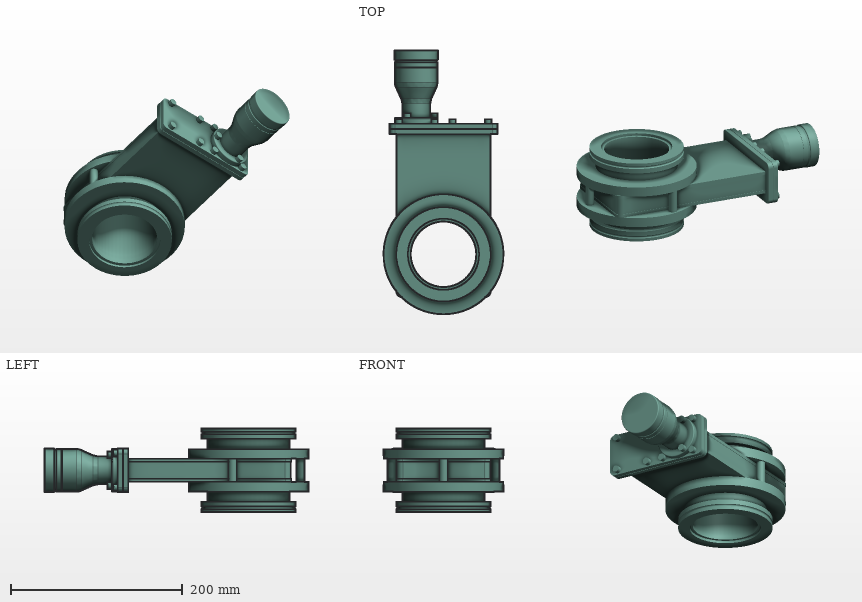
import cadquery as cq
import math


bore_radius = 38.0
counterbore_radius = 41.5
counterbore_depth = 3.0
tube_radius = 48.0
port_half_height = 97.41 / 2
port_ring_radius = 55.0
port_ring_thickness = 12.2
ring_groove_width = 3.0
ring_groove_offset = 5.1
flange_radius = 70.0
flange_thickness = 11.3

housing_width = 110.0
housing_thickness = 27.0
housing_bottom_y = -50.0
housing_corner_radius = 7.0
cover_thickness = 3.7
spacer_recess = 0.5

rod_radius = 5.0
front_rod_y = -60.4
side_rod_x = 60.3
side_rod_y = 18.5
rod_places = [(0, front_rod_y), (-side_rod_x, side_rod_y), (side_rod_x, side_rod_y)]

bonnet_width = 126.0
bonnet_height = 51.0
bonnet_corner_radius = 6.0
bonnet_start_y = 140.0
bonnet_plate_thickness = 5.7
gasket_thickness = 0.8
gasket_recess = 0.5
bonnet_front_round = 0.6
bonnet_end_y = bonnet_start_y + 2 * bonnet_plate_thickness + gasket_thickness

screw_head_radius = 4.0
screw_head_height = 5.3
bonnet_screw_x = [-52.0, -10.5, 10.5, 52.0]
bonnet_screw_z = 20.0

actuator_x = -31.8
actuator_flange_radius = 25.0
actuator_flange_thickness = 6.9
actuator_flange_round = 1.0
actuator_flange_end_y = bonnet_end_y + actuator_flange_thickness
actuator_screw_circle_radius = 21.0
actuator_screw_count = 3
neck_radius = 16.5
barrel_radius = 25.0
cap_radius = 25.5
cone_start_y = 178.9
cone_end_y = 197.4
cone_blend_radius = 14.0
barrel_groove_y = 217.1
barrel_groove_width = 1.0
barrel_groove_depth = 0.5
barrel_end_y = 223.9
cap_start_y = 226.3
cap_joint_radius = 24.2
cap_round = 1.0
barrel_end_round = 0.5
overall_length = 307.72
cap_end_y = overall_length - flange_radius


def rod_along_y(x, z, radius, start_y, length):
    """Solid cylinder along +Y."""
    base = cq.Workplane("XZ", origin=(x, start_y, z))
    return base.circle(radius).extrude(-length)


def port():
    """Upper flange, tube and grooved end ring."""
    flange_bottom = housing_thickness / 2
    flange_top = flange_bottom + flange_thickness
    ring_bottom = port_half_height - port_ring_thickness
    groove_top = port_half_height - ring_groove_offset + ring_groove_width / 2
    groove_bottom = groove_top - ring_groove_width
    profile = (
        cq.Workplane("YZ")
        .moveTo(0, flange_bottom)
        .lineTo(-flange_radius, flange_bottom)
        .lineTo(-flange_radius, flange_top)
        .lineTo(-tube_radius, flange_top)
        .lineTo(-tube_radius, ring_bottom)
        .lineTo(-port_ring_radius, ring_bottom)
        .lineTo(-port_ring_radius, groove_bottom)
        .threePointArc(
            (-port_ring_radius + ring_groove_width / 2, (groove_bottom + groove_top) / 2),
            (-port_ring_radius, groove_top),
        )
        .lineTo(-port_ring_radius, port_half_height)
        .lineTo(0, port_half_height)
        .close()
    )
    return profile.revolve(360, (0, 0, 0), (0, 1, 0))


def housing_layer(inset, thickness):
    """Layer of the housing centred on Z = 0, rounded at its lower corners."""
    bottom = housing_bottom_y + inset
    length = bonnet_start_y - bottom
    return (
        cq.Workplane("XY")
        .box(housing_width - 2 * inset, length, thickness)
        .translate((0, bottom + length / 2, 0))
        .edges("|Z and <Y")
        .fillet(housing_corner_radius)
    )


def housing():
    spacer_thickness = housing_thickness - 2 * cover_thickness
    spacer = housing_layer(spacer_recess, spacer_thickness)
    covers = housing_layer(0, housing_thickness).cut(
        cq.Workplane("XY").box(2 * housing_width, 2 * overall_length, spacer_thickness)
    )
    return covers.union(spacer)


def tie_rods():
    base = cq.Workplane("XY").workplane(offset=-housing_thickness / 2)
    return base.pushPoints(rod_places).circle(rod_radius).extrude(housing_thickness)


def bonnet_layer(inset, start_y, thickness):
    """Rounded rectangular plate facing along Y."""
    return (
        cq.Workplane("XZ", origin=(0, start_y, 0))
        .rect(bonnet_width - 2 * inset, bonnet_height - 2 * inset)
        .extrude(-thickness)
        .edges("|Y")
        .fillet(bonnet_corner_radius)
    )


def bonnet():
    gasket_y = bonnet_start_y + bonnet_plate_thickness
    cover_y = gasket_y + gasket_thickness
    body = bonnet_layer(0, bonnet_start_y, bonnet_plate_thickness)
    body = body.faces("<Y").edges().fillet(bonnet_front_round)
    body = body.union(bonnet_layer(gasket_recess, gasket_y, gasket_thickness))
    body = body.union(bonnet_layer(0, cover_y, bonnet_plate_thickness))
    for x in bonnet_screw_x:
        for z in (-bonnet_screw_z, bonnet_screw_z):
            head = rod_along_y(x, z, screw_head_radius, bonnet_end_y, screw_head_height)
            body = body.union(head)
    return body


def actuator_flange():
    """Round foot of the actuator with its ring of screw heads."""
    flange = rod_along_y(
        actuator_x, 0, actuator_flange_radius, bonnet_end_y, actuator_flange_thickness
    )
    flange = flange.faces(">Y").edges().fillet(actuator_flange_round)
    for index in range(actuator_screw_count):
        angle = 2 * math.pi * index / actuator_screw_count
        x = actuator_x + actuator_screw_circle_radius * math.cos(angle)
        z = actuator_screw_circle_radius * math.sin(angle)
        head = rod_along_y(x, z, screw_head_radius, actuator_flange_end_y, screw_head_height)
        flange = flange.union(head)
    return flange


def actuator_barrel():
    """Neck, blended cone and barrel, turned about the actuator axis."""
    barrel = (
        cq.Workplane("XY", origin=(actuator_x, 0, 0))
        .moveTo(0, actuator_flange_end_y)
        .lineTo(-neck_radius, actuator_flange_end_y)
        .lineTo(-neck_radius, cone_start_y)
        .lineTo(-barrel_radius, cone_end_y)
        .lineTo(-barrel_radius, barrel_end_y)
        .lineTo(0, barrel_end_y)
        .close()
        .revolve(360, (0, 0, 0), (0, 1, 0))
    )
    barrel = barrel.faces(">Y").edges().fillet(barrel_end_round)
    selection_margin = 0.1
    for y in (cone_start_y, cone_end_y):
        cone_edge = cq.selectors.BoxSelector(
            (actuator_x - cap_radius, y - selection_margin, -cap_radius),
            (actuator_x + cap_radius, y + selection_margin, cap_radius),
        )
        barrel = barrel.edges(cone_edge).fillet(cone_blend_radius)

    groove_base = cq.Workplane("XZ", origin=(actuator_x, barrel_groove_y, 0))
    groove = (
        groove_base.circle(cap_radius)
        .circle(barrel_radius - barrel_groove_depth)
        .extrude(-barrel_groove_width)
    )
    return barrel.cut(groove)


def actuator_cap():
    """Rounded end cap on its narrower joint."""
    joint = rod_along_y(actuator_x, 0, cap_joint_radius, barrel_end_y, cap_start_y - barrel_end_y)
    cap = rod_along_y(actuator_x, 0, cap_radius, cap_start_y, cap_end_y - cap_start_y)
    return cap.edges().fillet(cap_round).union(joint)


def actuator():
    return actuator_flange().union(actuator_barrel()).union(actuator_cap())


def flow_passage():
    """Through bore with a shallow counterbore at both port faces."""
    bore_base = cq.Workplane("XY").workplane(offset=-port_half_height)
    passage = bore_base.circle(bore_radius).extrude(2 * port_half_height)
    face = cq.Workplane("XY").workplane(offset=port_half_height)
    upper = face.circle(counterbore_radius).extrude(-counterbore_depth)
    return passage.union(upper).union(upper.mirror("XY"))


upper_port = port()
body = housing().union(upper_port).union(upper_port.mirror("XY"))
result = body.union(tie_rods()).union(bonnet()).union(actuator()).cut(flow_passage())